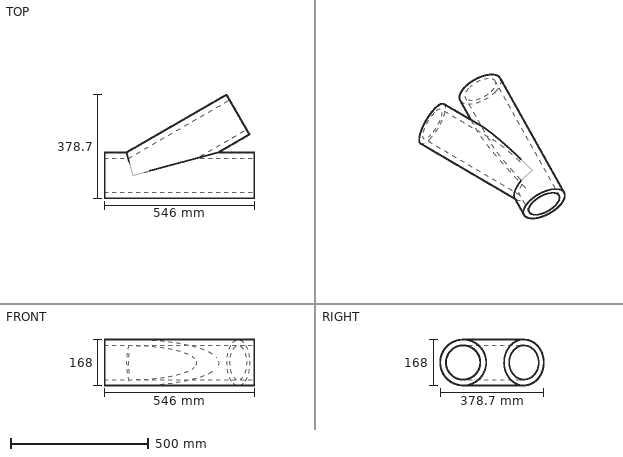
import cadquery as cq
import math

run_length = 546.0
outer_diameter = 168.0
bore_diameter = 124.5
branch_angle = 30.0
branch_length = 444.0
crossing_x = 102.0

branch_direction = (
    math.cos(math.radians(branch_angle)),
    math.sin(math.radians(branch_angle)),
    0,
)


def rod(start, direction, length, diameter):
    """Solid cylinder from a start point along a direction."""
    plane = cq.Plane(origin=start, xDir=(0, 0, 1), normal=direction)
    return cq.Workplane(plane).circle(diameter / 2).extrude(length)


def run_and_branch(diameter):
    """Run and branch cylinders of one diameter, joined where their axes cross."""
    run = rod((0, 0, 0), (1, 0, 0), run_length, diameter)
    branch = rod((crossing_x, 0, 0), branch_direction, branch_length, diameter)
    return run.union(branch)


result = run_and_branch(outer_diameter).cut(run_and_branch(bore_diameter))